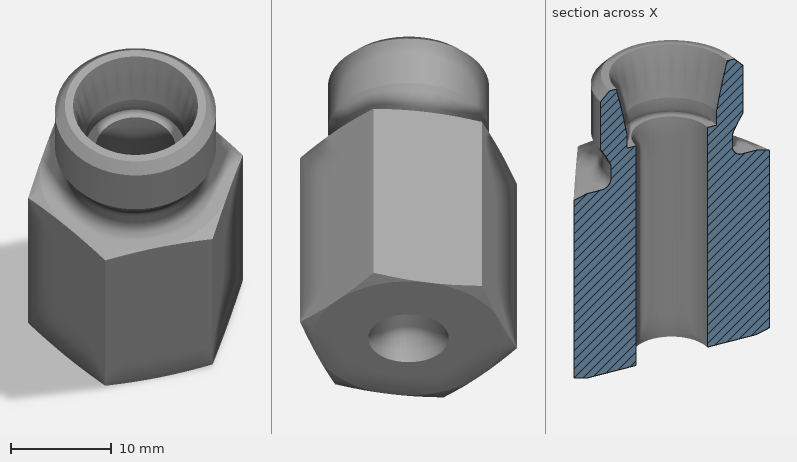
import cadquery as cq
import math

TOTAL_HEIGHT = 32.0
HEX_ACROSS_FLATS = 19.0
HEX_HEIGHT = 21.0
HEX_CHAMFER_ANGLE = math.radians(15)

THREAD_RADIUS = 16.0 / 2
THREAD_CHAMFER = 1.0
NECK_RADIUS = 13.7 / 2
NECK_FILLET = 1.0
NECK_STRAIGHT_HEIGHT = 1.3
RUNOUT_ANGLE = math.radians(30)

SEAT_MOUTH_RADIUS = 12.4 / 2
COUNTERBORE_RADIUS = 10.0 / 2
COUNTERBORE_DEPTH = 7.0
BORE_RADIUS = 8.0 / 2
SEAT_DEPTH = 5.4


def hex_body():
    """Hexagonal prism whose corners are cut by a shallow cone at both ends."""
    flat_radius = HEX_ACROSS_FLATS / 2
    corner_radius = flat_radius / math.cos(math.pi / 6)
    chamfer_height = (corner_radius - flat_radius) * math.tan(HEX_CHAMFER_ANGLE)
    prism = (
        cq.Workplane("XY")
        .polygon(6, 2 * corner_radius)
        .extrude(HEX_HEIGHT)
        .rotate((0, 0, 0), (0, 0, 1), 30)
    )
    envelope = (
        cq.Workplane("XZ")
        .moveTo(0, 0)
        .lineTo(flat_radius, 0)
        .lineTo(corner_radius, chamfer_height)
        .lineTo(corner_radius, HEX_HEIGHT - chamfer_height)
        .lineTo(flat_radius, HEX_HEIGHT)
        .lineTo(0, HEX_HEIGHT)
        .close()
        .revolve(360, (0, 0, 0), (0, 1, 0))
    )
    return prism.intersect(envelope)


def fillet_point(start_height, angle, direction):
    """Point on a neck fillet after turning by angle away from the straight neck."""
    radius = NECK_RADIUS + NECK_FILLET * (1 - math.cos(angle))
    height = start_height + direction * NECK_FILLET * math.sin(angle)
    return radius, height


def threaded_end():
    """Filleted neck, conical runout and chamfered thread cylinder."""
    neck_bottom = HEX_HEIGHT + NECK_FILLET
    neck_top = neck_bottom + NECK_STRAIGHT_HEIGHT
    runout_start = fillet_point(neck_top, RUNOUT_ANGLE, 1)
    runout_height = (THREAD_RADIUS - runout_start[0]) / math.tan(RUNOUT_ANGLE)
    return (
        cq.Workplane("XZ")
        .moveTo(0, HEX_HEIGHT)
        .lineTo(NECK_RADIUS + NECK_FILLET, HEX_HEIGHT)
        .threePointArc(fillet_point(neck_bottom, math.pi / 4, -1), (NECK_RADIUS, neck_bottom))
        .lineTo(NECK_RADIUS, neck_top)
        .threePointArc(fillet_point(neck_top, RUNOUT_ANGLE / 2, 1), runout_start)
        .lineTo(THREAD_RADIUS, runout_start[1] + runout_height)
        .lineTo(THREAD_RADIUS, TOTAL_HEIGHT - THREAD_CHAMFER)
        .lineTo(THREAD_RADIUS - THREAD_CHAMFER, TOTAL_HEIGHT)
        .lineTo(0, TOTAL_HEIGHT)
        .close()
        .revolve(360, (0, 0, 0), (0, 1, 0))
    )


def bore():
    """Through hole with a counterbore and a conical seat at the threaded end."""
    counterbore_floor = TOTAL_HEIGHT - COUNTERBORE_DEPTH
    return (
        cq.Workplane("XZ")
        .moveTo(0, 0)
        .lineTo(BORE_RADIUS, 0)
        .lineTo(BORE_RADIUS, counterbore_floor)
        .lineTo(COUNTERBORE_RADIUS, counterbore_floor)
        .lineTo(COUNTERBORE_RADIUS, TOTAL_HEIGHT - SEAT_DEPTH)
        .lineTo(SEAT_MOUTH_RADIUS, TOTAL_HEIGHT)
        .lineTo(0, TOTAL_HEIGHT)
        .close()
        .revolve(360, (0, 0, 0), (0, 1, 0))
    )


result = hex_body().union(threaded_end()).cut(bore())